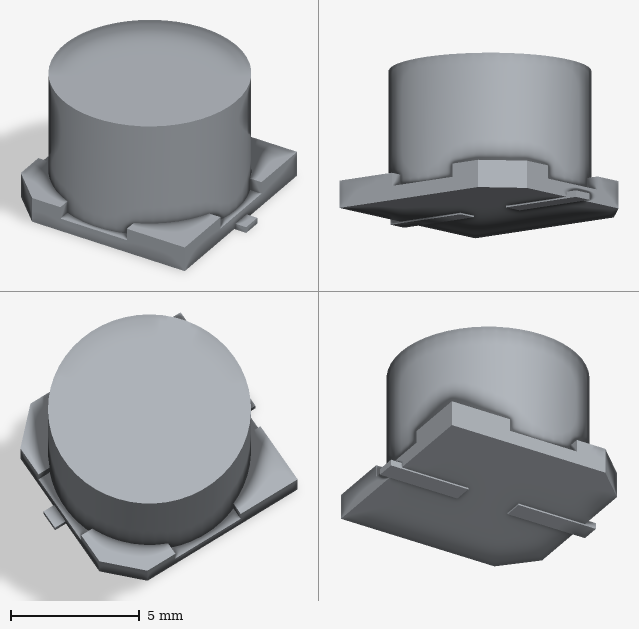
import cadquery as cq

total_length = 9.3
total_height = 5.57

terminal_width = 0.82
terminal_thickness = 0.26
terminal_gap = 2.29
terminal_length = (total_length - terminal_gap) / 2

base_side = 8.31
base_height = 1.08
base_standoff = 0.065
corner_chamfer = 1.35
notch_width = 3.03
notch_depth = 0.52
base_top = base_standoff + base_height
notch_floor = base_top - notch_depth

can_diameter = 7.89
can_height = total_height - notch_floor


def make_can():
    """Cylindrical can standing on the floor of the base recess."""
    return cq.Workplane("XY").workplane(offset=notch_floor).circle(can_diameter / 2).extrude(can_height)


def make_terminal(side):
    """Flat strip running outward along X; side is -1 or +1."""
    centre_x = side * (terminal_gap + terminal_length) / 2
    return (
        cq.Workplane("XY")
        .center(centre_x, 0)
        .rect(terminal_length, terminal_width)
        .extrude(terminal_thickness)
    )


def make_base(can, terminals):
    """Square base with two cut corners, side notches, and seats for the can and terminals."""
    base = cq.Workplane("XY").workplane(offset=base_standoff).rect(base_side, base_side).extrude(base_height)
    base = base.edges("|Z and <X").chamfer(corner_chamfer)

    channels = cq.Workplane("XY").workplane(offset=notch_floor)
    base = base.cut(channels.rect(base_side, notch_width).extrude(notch_depth))
    base = base.cut(channels.rect(notch_width, base_side).extrude(notch_depth))

    base = base.cut(can)

    for terminal in terminals:
        base = base.cut(terminal)
    return base.solids()


can = make_can()
terminals = [make_terminal(side) for side in (-1, 1)]
base = make_base(can, terminals)

result = cq.Compound.makeCompound(
    [can.val(), base.val(), *[terminal.val() for terminal in terminals]]
)